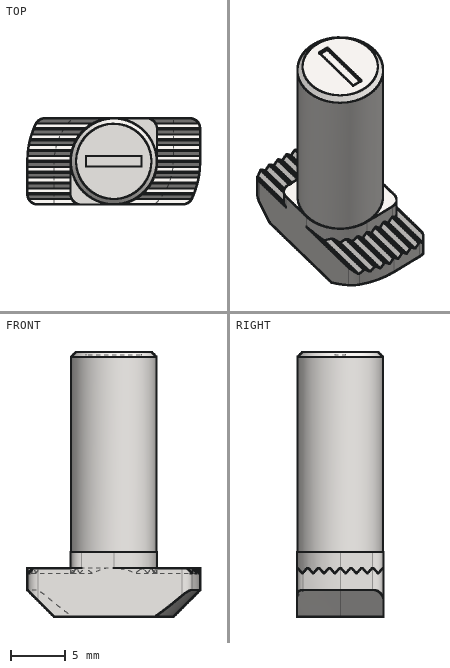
import cadquery as cq
import math

total_height = 24.5
head_length = 16.0
head_width = head_length / 2
head_height = 4.5
head_side_height = 2.0
neck_top = 6.0
corner_radius = 1.0
stud_diameter = 7.95
stud_chamfer = 0.5
slot_length = 5.1
slot_width = 0.98
slot_depth = 0.3
tooth_count = 8
tooth_depth = 0.5
crest_width = 0.12

half_length = head_length / 2
half_width = head_width / 2
bevel = head_height - head_side_height
tooth_pitch = head_width / tooth_count
groove_half_width = (tooth_pitch - crest_width) / 2


def turning_outline(reach):
    """Plan that is square in two opposite quadrants and round in the other two."""
    arc_end = math.sqrt(reach**2 - half_width**2)
    mid_angle = math.asin(half_width / reach) / 2
    mid_x = reach * math.cos(mid_angle)
    mid_y = reach * math.sin(mid_angle)
    return (
        cq.Workplane("XY")
        .moveTo(reach, 0)
        .lineTo(reach, half_width)
        .lineTo(-arc_end, half_width)
        .threePointArc((-mid_x, mid_y), (-reach, 0))
        .lineTo(-reach, -half_width)
        .lineTo(arc_end, -half_width)
        .threePointArc((mid_x, -mid_y), (reach, 0))
        .close()
    )


def bevelled_envelope():
    """Head underside: flat bevels on the square quadrants, conical on the round ones."""
    half_section = [
        (0, 0),
        (half_length - bevel, 0),
        (half_length, bevel),
        (half_length, head_height),
        (0, head_height),
    ]
    flat_quadrant = cq.Workplane("XZ").polyline(half_section).close().extrude(-half_width)
    turned_body = cq.Workplane("XZ").polyline(half_section).close().revolve(360, (0, 0), (0, 1))
    quadrant_box = cq.Workplane("XY").box(
        half_length, half_width, head_height, centered=False
    ).translate((0, -half_width, 0))
    round_quadrant = turned_body.intersect(quadrant_box)
    half = flat_quadrant.union(round_quadrant)
    return half.union(half.rotate((0, 0, 0), (0, 0, 1), 180))


def make_head():
    plan = turning_outline(half_length).extrude(head_height)
    for side in (">Y", "<Y"):
        plan = plan.faces(side).edges("|Z").fillet(corner_radius)
    return plan.intersect(bevelled_envelope())


def cut_teeth(head):
    for index in range(tooth_count):
        valley = -half_width + (index + 0.5) * tooth_pitch
        groove = (
            cq.Workplane("YZ")
            .polyline([
                (valley - groove_half_width, head_height),
                (valley, head_height - tooth_depth),
                (valley + groove_half_width, head_height),
            ])
            .close()
            .extrude(half_length, both=True)
        )
        head = head.cut(groove)
    return head


def make_neck():
    base = head_height - tooth_depth
    neck = turning_outline(half_width).extrude(neck_top - base)
    for diagonal in ((1, 1, 0), (-1, -1, 0)):
        corner = cq.selectors.DirectionMinMaxSelector(cq.Vector(*diagonal), True)
        neck = neck.edges("|Z").edges(corner).fillet(corner_radius)
    return neck.translate((0, 0, base))


def make_stud():
    stud = (
        cq.Workplane("XY")
        .workplane(offset=neck_top)
        .circle(stud_diameter / 2)
        .extrude(total_height - neck_top)
        .faces(">Z")
        .chamfer(stud_chamfer)
    )
    return stud.faces(">Z").workplane().rect(slot_length, slot_width).cutBlind(-slot_depth)


result = cut_teeth(make_head()).union(make_neck()).union(make_stud())